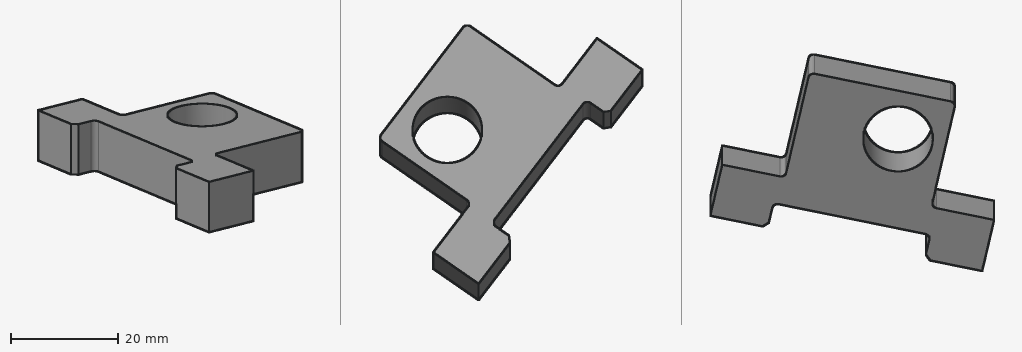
import cadquery as cq

width = 52.0
depth = 32.0
thickness = 10.0

head_width = 28.0
arm_depth = 10.5

slot_width = 30.0
slot_depth = 5.0

hole_diameter = 13.0
hole_x = -5.0
hole_y = 22.5

corner_radius = 1.0
mouth_chamfer = 1.0


def corner_edges(body, half_width, y):
    """Select the pair of vertical edges at x = +/-half_width and the given y."""
    reach = corner_radius / 2
    edges = body.edges("|Z")
    picked = None
    for x in (-half_width, half_width):
        box = cq.selectors.BoxSelector(
            (x - reach, y - reach, -thickness),
            (x + reach, y + reach, 2 * thickness),
        )
        pair_member = edges.edges(box)
        picked = pair_member if picked is None else picked.add(pair_member)
    return picked


def block(block_width, block_depth):
    """Full-thickness block centred on X with its front face at y = 0."""
    return cq.Workplane("XY").box(block_width, block_depth, thickness, centered=(True, False, False))


body = block(width, arm_depth).union(block(head_width, depth))
body = body.cut(block(slot_width, slot_depth))

for half_width, y in (
    (head_width / 2, depth),
    (head_width / 2, arm_depth),
    (slot_width / 2, slot_depth),
):
    body = corner_edges(body, half_width, y).fillet(corner_radius)

body = corner_edges(body, slot_width / 2, 0).chamfer(mouth_chamfer)

hole = cq.Workplane("XY").center(hole_x, hole_y).circle(hole_diameter / 2).extrude(thickness)

result = body.cut(hole)